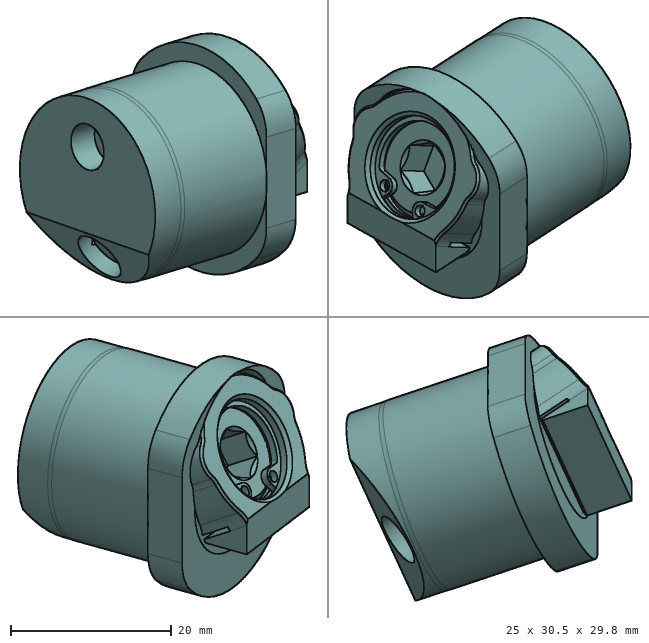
import cadquery as cq
import math


BODY_RADIUS = 24.98 / 2
NOSE_RADIUS = 12.45
NOSE_LENGTH = 4.33
NOSE_TAPER_LENGTH = 0.6
FLANGE_FRONT = 19.0
FLANGE_THICKNESS = 5.0
FLANGE_REAR = FLANGE_FRONT + FLANGE_THICKNESS
FLANGE_RADIUS = 14.9
FLANGE_HALF_WIDTH = 12.4
FLANGE_CORNER_RADIUS = 6.45
BEVEL_TOP_Z = -5.43
FRONT_HOLE_RADIUS = 3.02
FRONT_HOLE_Z = 6.0

TILT = 30.0
CORE_FACE_Y = 27.1
CORE_FACE_Z = 5.5

CORE_BASE_RADIUS = 9.35
CORE_BASE_CHAMFER = 1.0
CORE_BASE_FRONT = 4.0
CORE_LENGTH = 10.0
CORE_RADIUS = 9.75
LOBE_RADIUS = 3.05
LOBE_X = 7.45
LOBE_DROP = -1.83
LOBE_BLEND = 2.15
TAB_HALF_WIDTH = 7.53
TAB_REACH = 18.3
TAB_BLEND = 3.65
CORE_EDGE_CHAMFER = 0.3
CORE_REAR_Y = 30.5
FOOT_BOTTOM_Z = -5.22
FOOT_DEPTH = 7.62
SLOT_DEPTH = 3.25
SLOT_INNER = 6.85
SLOT_OUTER = 7.47

BORE_RADIUS = 6.5
BORE_CHAMFER = 0.5
BORE_DEPTH = 9.52
RING_GROOVE_RADIUS = 6.98
RING_TOP = 1.5
RING_THICKNESS = 1.0
RING_BOTTOM = RING_TOP + RING_THICKNESS

RING_INNER_RADIUS = 5.85
EAR_CENTER_RADIUS = 5.45
EAR_RADIUS = 1.15
EAR_HOLE_RADIUS = 0.73
EAR_HALF_ANGLE = 35.4
EAR_ROOT_FILLET = 0.75
EAR_SLOPE = 30.0
GAP_TURN = -5.9

SPINDLE_TOP = 2.68
SPINDLE_HEAD_CHAMFER = 0.65
SPINDLE_SHAFT_RADIUS = 3.45
SPINDLE_END_CHAMFER = 0.43
SPINDLE_RECESS = 2.0
SOCKET_ACROSS_FLATS = 6.0
SOCKET_CIRCUMRADIUS = SOCKET_ACROSS_FLATS / math.sqrt(3)
SOCKET_DEPTH = 5.0
SOCKET_LEAD_IN = SOCKET_CIRCUMRADIUS - SOCKET_ACROSS_FLATS / 2

TOLERANCE = 0.003
FAR = 61.0

COS = math.cos(math.radians(TILT))
SIN = math.sin(math.radians(TILT))
CORE_NORMAL = cq.Vector(0, COS, SIN)
ALONG_AXIS = cq.selectors.ParallelDirSelector(CORE_NORMAL)
OUTER_END = cq.selectors.DirectionMinMaxSelector(CORE_NORMAL, True)
INNER_END = cq.selectors.DirectionMinMaxSelector(CORE_NORMAL, False)
BEVEL_DEPTH = CORE_FACE_Y * COS + (CORE_FACE_Z - BEVEL_TOP_Z) * SIN
SPINDLE_END = BEVEL_DEPTH - SPINDLE_RECESS


def tilted(depth=0.0):
    """Workplane square to the core axis, at a depth below the rear sloped face."""
    origin = (0, CORE_FACE_Y - depth * COS, CORE_FACE_Z - depth * SIN)
    return cq.Workplane(cq.Plane(origin=origin, xDir=(1, 0, 0), normal=CORE_NORMAL))


def along_axis(radius, top, bottom):
    """Cylinder on the core axis between two depths."""
    return tilted(bottom).circle(radius).extrude(bottom - top)


def front_to_rear(y):
    """Workplane square to Y whose extrusions run towards the rear."""
    return cq.Workplane(cq.Plane(origin=(0, y, 0), xDir=(-1, 0, 0), normal=(0, 1, 0)))


def below_slope(start, top=-FAR, bottom=FAR):
    """Block of everything further down the slope than start, between two depths."""
    return tilted(bottom).center(0, start + FAR / 2).rect(FAR, FAR).extrude(bottom - top)


def core_base_cylinder():
    """Plain cylinder from the bottom of the housing bore to the flange rear."""
    return front_to_rear(CORE_BASE_FRONT).circle(CORE_BASE_RADIUS).extrude(FLANGE_REAR - CORE_BASE_FRONT)


def core_outline_prism(bottom, top):
    """Round core with a lobe at each side and a straight tab down the slope."""
    height = bottom - top
    prism = tilted(bottom).circle(CORE_RADIUS).extrude(height)
    lobes = tilted(bottom).pushPoints([(-LOBE_X, LOBE_DROP), (LOBE_X, LOBE_DROP)])
    prism = prism.union(lobes.circle(LOBE_RADIUS).extrude(height))
    tab = tilted(bottom).center(0, TAB_REACH / 2).rect(2 * TAB_HALF_WIDTH, TAB_REACH)
    prism = prism.union(tab.extrude(height))

    axial_edges = prism.edges(ALONG_AXIS)
    lobe_edges = []
    tab_edges = []
    for edge in axial_edges.vals():
        point = tilted().plane.toLocalCoords(edge.Center())
        lobe_distance = math.hypot(abs(point.x) - LOBE_X, point.y - LOBE_DROP)
        on_circle = abs(math.hypot(point.x, point.y) - CORE_RADIUS) < TOLERANCE
        on_lobe = abs(lobe_distance - LOBE_RADIUS) < TOLERANCE
        on_tab = abs(abs(point.x) - TAB_HALF_WIDTH) < TOLERANCE
        if on_circle and on_lobe:
            lobe_edges.append(edge)
        elif on_circle and on_tab and point.y > 0:
            tab_edges.append(edge)
    prism = prism.newObject(tab_edges).fillet(TAB_BLEND)
    return prism.newObject(lobe_edges).fillet(LOBE_BLEND)


def make_housing():
    flange = (
        front_to_rear(FLANGE_FRONT)
        .circle(FLANGE_RADIUS)
        .extrude(FLANGE_THICKNESS)
        .intersect(cq.Workplane().box(2 * FLANGE_HALF_WIDTH, FAR, FAR))
        .edges("|Y")
        .fillet(FLANGE_CORNER_RADIUS)
    )
    taper_end = NOSE_LENGTH + NOSE_TAPER_LENGTH
    barrel = (
        cq.Workplane("XY")
        .polyline([
            (0, 0),
            (NOSE_RADIUS, 0),
            (NOSE_RADIUS, NOSE_LENGTH),
            (BODY_RADIUS, taper_end),
            (BODY_RADIUS, FLANGE_FRONT),
            (0, FLANGE_FRONT),
        ])
        .close()
        .revolve(360, (0, 0, 0), (0, 1, 0))
    )
    bevel_cut = tilted(BEVEL_DEPTH).rect(FAR, FAR).extrude(-FAR)
    pocket = core_outline_prism(CORE_LENGTH, -CORE_LENGTH).cut(below_slope(SLOT_INNER))
    shaft_hole = along_axis(SPINDLE_SHAFT_RADIUS, 0, FAR)
    front_hole = front_to_rear(0).center(0, FRONT_HOLE_Z).circle(FRONT_HOLE_RADIUS).extrude(CORE_BASE_FRONT)
    return (
        barrel.union(flange)
        .cut(bevel_cut)
        .cut(pocket)
        .cut(core_base_cylinder())
        .cut(shaft_hole)
        .cut(front_hole)
    )


def make_core():
    core = core_outline_prism(CORE_LENGTH, 0)
    core = core.faces(OUTER_END).chamfer(CORE_EDGE_CHAMFER)

    core = core.cut(front_to_rear(CORE_REAR_Y).rect(FAR, FAR).extrude(FAR))
    underside = cq.Workplane("XY", origin=(0, 0, FOOT_BOTTOM_Z)).rect(2 * FAR, 2 * FAR).extrude(-FAR)
    core = core.cut(underside.intersect(below_slope(SLOT_INNER)))

    slot = below_slope(SLOT_INNER, SLOT_DEPTH).cut(below_slope(SLOT_OUTER))
    core = core.cut(slot).cut(below_slope(SLOT_INNER, FOOT_DEPTH))
    core = core.union(core_base_cylinder().faces("<Y").chamfer(CORE_BASE_CHAMFER))

    lead_in = (
        tilted(BORE_CHAMFER)
        .circle(BORE_RADIUS)
        .workplane(offset=BORE_CHAMFER)
        .circle(BORE_RADIUS + BORE_CHAMFER)
        .loft()
    )
    return (
        core.cut(along_axis(BORE_RADIUS, 0, BORE_DEPTH))
        .cut(lead_in)
        .cut(along_axis(RING_GROOVE_RADIUS, RING_TOP, RING_BOTTOM))
        .cut(along_axis(SPINDLE_SHAFT_RADIUS, 0, FAR))
    )


def ear_plane(side):
    """Workplane at the center of the ear on one side (+1 or -1) of the gap, +y outward."""
    turn = GAP_TURN - side * EAR_HALF_ANGLE
    return tilted(RING_BOTTOM).transformed(rotate=(0, 0, turn)).center(0, EAR_CENTER_RADIUS)


def make_ear(side):
    """Rounded eye with a root reaching outward and an arm running back into the band."""
    root_length = RING_GROOVE_RADIUS - EAR_CENTER_RADIUS + EAR_RADIUS
    eye = ear_plane(side).circle(EAR_RADIUS).extrude(RING_THICKNESS)
    root = ear_plane(side).center(0, root_length / 2).rect(2 * EAR_RADIUS, root_length)
    arm = ear_plane(side).transformed(rotate=(0, 0, side * EAR_SLOPE))
    arm = arm.center(side * root_length / 2, 0).rect(root_length, 2 * EAR_RADIUS)
    return eye.union(root.extrude(RING_THICKNESS)).union(arm.extrude(RING_THICKNESS))


def make_snap_ring():
    band = tilted(RING_BOTTOM).circle(RING_GROOVE_RADIUS).circle(RING_INNER_RADIUS).extrude(RING_THICKNESS)
    gap_half_width = FAR * math.tan(math.radians(EAR_HALF_ANGLE))
    gap = (
        tilted(RING_BOTTOM)
        .transformed(rotate=(0, 0, GAP_TURN))
        .polyline([(0, 0), (gap_half_width, FAR), (-gap_half_width, FAR)])
        .close()
        .extrude(RING_THICKNESS)
    )
    ring = band.cut(gap)
    envelope = along_axis(RING_GROOVE_RADIUS, RING_TOP, RING_BOTTOM)
    for side in (-1, 1):
        ring = ring.union(make_ear(side).intersect(envelope))

    axial_edges = ring.edges(ALONG_AXIS)
    root_edges = []
    for edge in axial_edges.vals():
        point = tilted().plane.toLocalCoords(edge.Center())
        from_gap = math.degrees(math.atan2(point.x, point.y)) + GAP_TURN
        on_band = abs(math.hypot(point.x, point.y) - RING_INNER_RADIUS) < TOLERANCE
        if on_band and EAR_HALF_ANGLE < abs(from_gap) < 2 * EAR_HALF_ANGLE:
            root_edges.append(edge)
    ring = ring.newObject(root_edges).fillet(EAR_ROOT_FILLET)

    for side in (-1, 1):
        ring = ring.cut(ear_plane(side).circle(EAR_HOLE_RADIUS).extrude(RING_THICKNESS))
    return ring


def make_spindle():
    head = along_axis(BORE_RADIUS, SPINDLE_TOP, BORE_DEPTH)
    head = head.faces(OUTER_END).chamfer(SPINDLE_HEAD_CHAMFER)
    shaft = along_axis(SPINDLE_SHAFT_RADIUS, BORE_DEPTH, SPINDLE_END)
    shaft = shaft.faces(INNER_END).chamfer(SPINDLE_END_CHAMFER)
    socket = (
        tilted(SPINDLE_TOP)
        .transformed(rotate=(0, 0, 90))
        .polygon(6, 2 * SOCKET_CIRCUMRADIUS)
        .extrude(-SOCKET_DEPTH)
    )
    lead_in = (
        tilted(SPINDLE_TOP + SOCKET_LEAD_IN)
        .circle(SOCKET_ACROSS_FLATS / 2)
        .workplane(offset=SOCKET_LEAD_IN)
        .circle(SOCKET_CIRCUMRADIUS)
        .loft()
    )
    return head.union(shaft).cut(socket).cut(lead_in)


housing = make_housing()
core = make_core()
snap_ring = make_snap_ring()
spindle = make_spindle()

result = cq.Compound.makeCompound([
    housing.solids().val(),
    core.solids().val(),
    snap_ring.solids().val(),
    spindle.solids().val(),
])